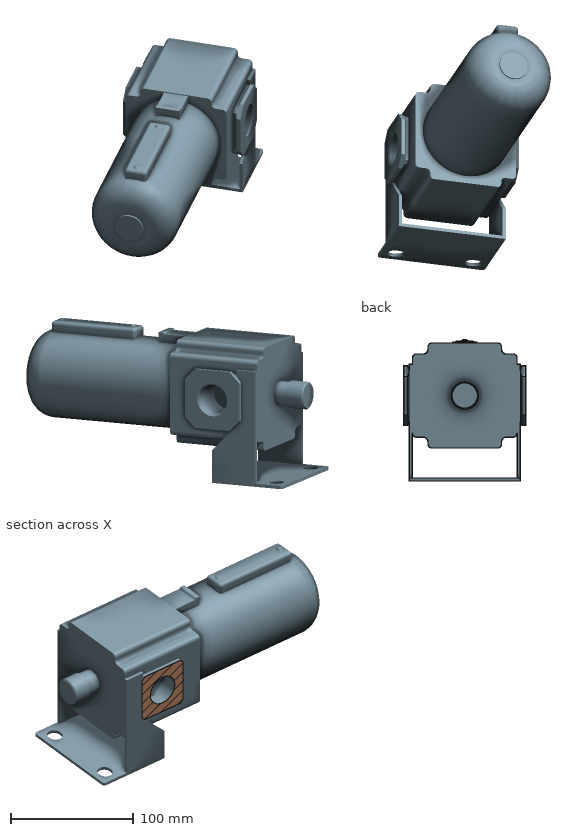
import cadquery as cq
import math


BODY_HALF = 42.8
BODY_TOP_HALF = 43.0
BODY_BACK = 37.1
BODY_FRONT = -41.5
STEP_X = 30.3
STEP_Z = 34.2
BODY_CORNER_R = 3.5

BOWL_R = 36.7
DOME_R = 18.5
DOME_END = -181.3
DISC_R = 11.8
BOWL_END = -182.8

KNOB_R = 11.3
NECK_R = 10.0
KNOB_FRONT = 48.2
KNOB_END = 63.2
KNOB_CHAMFER = 1.0

PORT_SPAN = 100.0
PORT_FACE_X = PORT_SPAN / 2
PORT_SIZE = 49.2
PORT_CHAMFER = 8.9
PORT_FLANGE_T = 3.2
UNDERCUT_DEPTH = 3.2
UNDERCUT_SLOPE = 1.2
UNDERCUT_FILLET = 1.2
PORT_HOLE_R = 12.5
PORT_HOLE_DEPTH = 29.5
PORT_HOLE_CHAMFER = 1.0

PLATE_T = 2.7
ARM_TOP = 25.8
ARM_EDGE_Y = 20.0
BASE_FRONT_Y = -2.2
BASE_BACK_Y = 61.0
BASE_BOTTOM = -70.0
BASE_CORNER_R = 2.0
SLOT_LENGTH = 13.5
SLOT_WIDTH = 11.5
SLOT_X = 33.0
SLOT_Y = 50.0

LUG_WIDTH = 20.5
LUG_FRONT = -67.5
LUG_TOP = 42.3
LUG_RIDGE_TOP = 43.8
LUG_RIDGE_LENGTH = 3.7
LUG_RAMP_LENGTH = 1.5

COVER_WIDTH = 18.7
COVER_BACK = -89.0
COVER_FRONT = -165.3
COVER_TOP = 44.5
COVER_BOTTOM = 35.0
COVER_EDGE_R = 3.0
SCREW_R = 3.0
SCREW_TOP_R = 1.5
SCREW_HEIGHT = 1.2
SCREW_INSET = 6.2


def box(x, y, z):
    """Box from three (low, high) ranges."""
    return cq.Workplane("XY").box(
        x[1] - x[0], y[1] - y[0], z[1] - z[0], centered=False
    ).translate((x[0], y[0], z[0]))


def both_sides(solid):
    """The solid together with its mirror image across the YZ plane."""
    return solid.union(solid.mirror("YZ"))


def make_body():
    """Block with a rounded step along each of its four long corners."""
    length = BODY_BACK - BODY_FRONT
    plane = cq.Workplane("XZ", origin=(0, BODY_BACK, 0))
    wide = plane.rect(2 * BODY_HALF, 2 * STEP_Z).extrude(length)
    tall = plane.rect(2 * STEP_X, 2 * BODY_TOP_HALF).extrude(length)
    return wide.union(tall).edges("|Y").fillet(BODY_CORNER_R)


def make_bowl():
    """Cylinder with a rounded end and a shallow disc on it."""
    dome_start = DOME_END + DOME_R
    arc_offset = DOME_R * math.sqrt(0.5)
    return (
        cq.Workplane("XY")
        .moveTo(0, BODY_FRONT)
        .lineTo(BOWL_R, BODY_FRONT)
        .lineTo(BOWL_R, dome_start)
        .threePointArc(
            (BOWL_R - DOME_R + arc_offset, dome_start - arc_offset),
            (BOWL_R - DOME_R, DOME_END),
        )
        .lineTo(DISC_R, DOME_END)
        .lineTo(DISC_R, BOWL_END)
        .lineTo(0, BOWL_END)
        .close()
        .revolve(360, (0, 0, 0), (0, 1, 0))
    )


def make_knob():
    """Round knob on a slimmer neck behind the body."""
    neck = cq.Workplane("XZ", origin=(0, KNOB_FRONT, 0)).circle(NECK_R).extrude(KNOB_FRONT - BODY_BACK)
    head = cq.Workplane("XZ", origin=(0, KNOB_END, 0)).circle(KNOB_R).extrude(KNOB_END - KNOB_FRONT)
    return neck.union(head.faces(">Y").edges().chamfer(KNOB_CHAMFER))


def make_port():
    """Octagonal flange on the +X side, with a sloped undercut behind each main side."""
    flange_back = PORT_FACE_X - PORT_FLANGE_T
    outer = PORT_SIZE / 2
    port = (
        cq.Workplane("YZ", origin=(BODY_HALF, 0, 0))
        .rect(PORT_SIZE, PORT_SIZE)
        .extrude(PORT_FACE_X - BODY_HALF)
        .edges("|X")
        .chamfer(PORT_CHAMFER)
    )
    undercut = (
        cq.Workplane("XZ")
        .polyline([
            (BODY_HALF, outer),
            (BODY_HALF, outer - UNDERCUT_DEPTH),
            (flange_back - UNDERCUT_SLOPE, outer - UNDERCUT_DEPTH),
            (flange_back, outer),
        ])
        .close()
        .extrude(outer, both=True)
        .faces("<Z")
        .edges(">X")
        .fillet(UNDERCUT_FILLET)
    )
    for angle in (0, 90, 180, 270):
        port = port.cut(undercut.rotate((0, 0, 0), (1, 0, 0), angle))
    return port


def make_port_hole():
    """Blind bore of the +X port with a small lead-in chamfer."""
    bottom_x = PORT_FACE_X - PORT_HOLE_DEPTH
    mouth_r = PORT_HOLE_R + PORT_HOLE_CHAMFER
    return (
        cq.Workplane("XY")
        .polyline([
            (bottom_x, 0),
            (bottom_x, PORT_HOLE_R),
            (PORT_FACE_X - PORT_HOLE_CHAMFER, PORT_HOLE_R),
            (PORT_FACE_X, mouth_r),
            (PORT_FACE_X, 0),
        ])
        .close()
        .revolve(360, (0, 0, 0), (1, 0, 0))
    )


def make_bracket():
    """U-shaped bracket: two arms beside the body and a slotted base plate."""
    outer_x = BODY_HALF + PLATE_T
    slope_sum = PORT_SIZE - PORT_CHAMFER
    arm = (
        cq.Workplane("YZ", origin=(BODY_HALF, 0, 0))
        .polyline([
            (BODY_BACK, ARM_TOP),
            (ARM_EDGE_Y, ARM_TOP),
            (ARM_EDGE_Y, ARM_EDGE_Y - slope_sum),
            (BASE_FRONT_Y, BASE_FRONT_Y - slope_sum),
            (BASE_FRONT_Y, BASE_BOTTOM),
            (BODY_BACK, BASE_BOTTOM),
        ])
        .close()
        .extrude(PLATE_T)
    )
    base = box((-outer_x, outer_x), (BASE_FRONT_Y, BASE_BACK_Y), (BASE_BOTTOM, BASE_BOTTOM + PLATE_T))
    base = base.edges("|Z and >Y").fillet(BASE_CORNER_R)
    slots = (
        cq.Workplane("XY", origin=(0, 0, BASE_BOTTOM))
        .pushPoints([(-SLOT_X, SLOT_Y), (SLOT_X, SLOT_Y)])
        .slot2D(SLOT_LENGTH, SLOT_WIDTH)
        .extrude(PLATE_T)
    )
    return both_sides(arm).union(base.cut(slots))


def make_lug():
    """Flat lug with a small ramped ridge at its front end."""
    ridge_start = LUG_FRONT + LUG_RIDGE_LENGTH
    return (
        cq.Workplane("YZ", origin=(-LUG_WIDTH / 2, 0, 0))
        .polyline([
            (BODY_FRONT, 0),
            (BODY_FRONT, LUG_TOP),
            (ridge_start + LUG_RAMP_LENGTH, LUG_TOP),
            (ridge_start, LUG_RIDGE_TOP),
            (LUG_FRONT, LUG_RIDGE_TOP),
            (LUG_FRONT, 0),
        ])
        .close()
        .extrude(LUG_WIDTH)
    )


def make_cover():
    """Raised strip with rounded edges, held by a screw at each end."""
    cover = box((-COVER_WIDTH / 2, COVER_WIDTH / 2), (COVER_FRONT, COVER_BACK), (COVER_BOTTOM, COVER_TOP))
    cover = cover.edges("|Z or >Z").fillet(COVER_EDGE_R)
    for y in (COVER_BACK - SCREW_INSET, COVER_FRONT + SCREW_INSET):
        screw = (
            cq.Workplane("XY", origin=(0, y, COVER_TOP))
            .circle(SCREW_R)
            .workplane(offset=SCREW_HEIGHT)
            .circle(SCREW_TOP_R)
            .loft()
        )
        cover = cover.union(screw)
    return cover


result = (
    make_body()
    .union(make_bowl())
    .union(make_knob())
    .union(both_sides(make_port()))
    .union(make_bracket())
    .union(make_lug())
    .union(make_cover())
    .cut(both_sides(make_port_hole()))
)